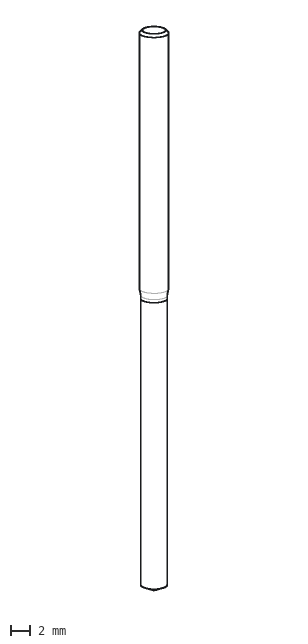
import cadquery as cq

total_length = 60.0
shank_radius = 1.5
drill_diameter = 2.7
drill_radius = drill_diameter / 2
tip_height = 0.6

chamfer_width = 0.3
chamfer_height = 0.3

split_height = 31.25
taper_bottom = 31.6
taper_top = 32.35


def revolve_profile(points):
    """Turn a closed (radius, height) outline around the Z axis."""
    return cq.Workplane("XZ").polyline(points).close().revolve(360, (0, 0, 0), (0, 1, 0))


def make_cutting_part():
    """Plain cylinder ending in a conical drill point."""
    return revolve_profile([
        (0, 0),
        (drill_radius, tip_height),
        (drill_radius, split_height),
        (0, split_height),
    ])


def make_shank():
    """Chamfered shank that tapers down to a short neck of the drill diameter."""
    return revolve_profile([
        (0, split_height),
        (drill_radius, split_height),
        (drill_radius, taper_bottom),
        (shank_radius, taper_top),
        (shank_radius, total_length - chamfer_height),
        (shank_radius - chamfer_width, total_length),
        (0, total_length),
    ])


cutting_part = make_cutting_part()
shank = make_shank()

result = cq.Compound.makeCompound([cutting_part.val(), shank.val()])